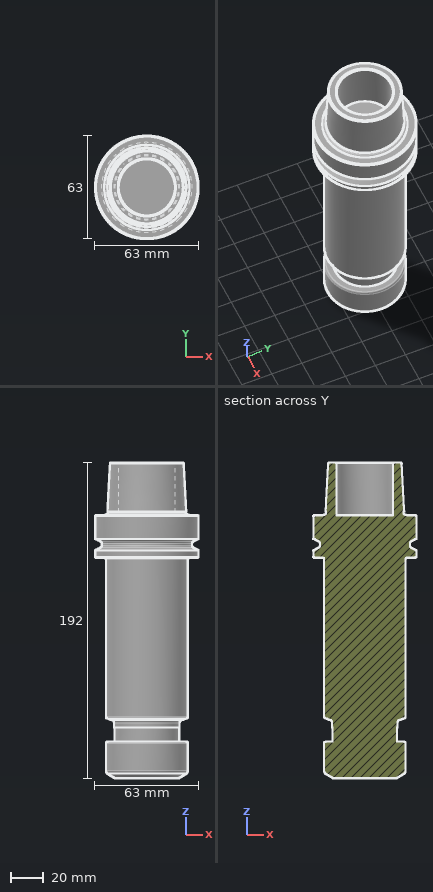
import cadquery as cq
import math

total_height = 192.0
shank_length = 32.0
flange_height = 26.0
flange_top = total_height - shank_length
flange_bottom = flange_top - flange_height
body_bottom = 37.6
step_bottom = 33.8
neck_split = 31.0
collar_top = 22.5

shank_top_radius = 22.5
shank_base_radius = 24.0
shank_base_height = 2.3
tip_chamfer_width = 0.5
tip_chamfer_height = 0.8
undercut_radius = 23.6
undercut_taper = 0.8
undercut_fillet = 0.8
seat_radius = 26.0
seat_rise = 0.5
bore_radius = 17.0
bore_depth = shank_length
bore_chamfer = 0.5

flange_radius = 31.5
flange_chamfer = 0.5
groove_radius = 27.5
groove_floor_width = 2.9
groove_corner_fillet = 1.3
groove_center = 142.1
groove_wall_slope = math.radians(27)

body_radius = 25.0
body_fillet = 1.0
body_edge_round = 1.3
neck_radius = 20.0
neck_relief = 0.2
neck_fillet = 1.7

collar_top_fillet = 1.2
collar_round = 2.1
end_radius = 19.2
end_cone_radius = 24.2
end_cone_height = 2.9

diagonal = math.sqrt(0.5)


def shank_outline(profile):
    """Taper from the tip to an undercut, which runs out over a shallow cone on the flange face."""
    shank_base = flange_top + shank_base_height
    seat_top = flange_top + seat_rise
    return (
        profile.lineTo(shank_top_radius - tip_chamfer_width, total_height)
        .lineTo(shank_top_radius, total_height - tip_chamfer_height)
        .lineTo(shank_base_radius, shank_base)
        .lineTo(undercut_radius, shank_base - undercut_taper)
        .lineTo(undercut_radius, seat_top + undercut_fillet)
        .threePointArc(
            (
                undercut_radius + undercut_fillet * (1 - diagonal),
                seat_top + undercut_fillet * (1 - diagonal),
            ),
            (undercut_radius + undercut_fillet, seat_top),
        )
        .lineTo(seat_radius, flange_top)
    )


def flange_outline(profile):
    """Flange with chamfered rims and a V-sided gripper groove with filleted corners."""
    half_floor = groove_floor_width / 2
    corner_tangent = groove_corner_fillet * math.tan((math.pi / 2 - groove_wall_slope) / 2)
    corner_run = corner_tangent * math.cos(groove_wall_slope)
    corner_rise = corner_tangent * math.sin(groove_wall_slope)
    upper_floor = groove_center + half_floor
    lower_floor = groove_center - half_floor
    corner_radius = groove_radius + corner_run
    half_mouth = half_floor + (flange_radius - groove_radius) * math.tan(groove_wall_slope)
    return (
        profile.lineTo(flange_radius - flange_chamfer, flange_top)
        .lineTo(flange_radius, flange_top - flange_chamfer)
        .lineTo(flange_radius, groove_center + half_mouth)
        .lineTo(corner_radius, upper_floor + corner_rise)
        .tangentArcPoint((groove_radius, upper_floor - corner_tangent), relative=False)
        .lineTo(groove_radius, lower_floor + corner_tangent)
        .tangentArcPoint((corner_radius, lower_floor - corner_rise), relative=False)
        .lineTo(flange_radius, groove_center - half_mouth)
        .lineTo(flange_radius, flange_bottom + flange_chamfer)
        .lineTo(flange_radius - flange_chamfer, flange_bottom)
    )


def body_outline(profile):
    """Long cylinder with a rounded lower edge, stepping in to the neck."""
    step_height = body_bottom - body_edge_round
    return (
        profile.lineTo(body_radius + body_fillet, flange_bottom)
        .threePointArc(
            (
                body_radius + body_fillet * (1 - diagonal),
                flange_bottom - body_fillet * (1 - diagonal),
            ),
            (body_radius, flange_bottom - body_fillet),
        )
        .lineTo(body_radius, body_bottom)
        .threePointArc(
            (
                body_radius - body_edge_round * (1 - diagonal),
                body_bottom - body_edge_round * diagonal,
            ),
            (body_radius - body_edge_round, step_height),
        )
        .lineTo(neck_radius + neck_fillet, step_bottom + neck_fillet)
        .threePointArc(
            (
                neck_radius + neck_fillet * (1 - diagonal),
                step_bottom + neck_fillet * diagonal,
            ),
            (neck_radius, step_bottom),
        )
        .lineTo(neck_radius, neck_split)
        .lineTo(neck_radius - neck_relief, neck_split)
        .lineTo(neck_radius - neck_relief, collar_top)
    )


def collar_outline(profile):
    """Collar with a filleted top rim and a rounded, conical lower end."""
    return (
        profile.lineTo(body_radius - collar_top_fillet, collar_top)
        .tangentArcPoint((body_radius, collar_top - collar_top_fillet), relative=False)
        .lineTo(body_radius, end_cone_height + collar_round)
        .tangentArcPoint((end_cone_radius, end_cone_height), relative=False)
        .lineTo(end_radius, 0)
        .lineTo(0, 0)
    )


def shank_bore():
    """Blind bore from the tip, with a chamfered mouth."""
    return (
        cq.Workplane("XZ")
        .moveTo(0, total_height)
        .lineTo(bore_radius + bore_chamfer, total_height)
        .lineTo(bore_radius, total_height - bore_chamfer)
        .lineTo(bore_radius, total_height - bore_depth)
        .lineTo(0, total_height - bore_depth)
        .close()
        .revolve(360, (0, 0), (0, 1))
    )


outline = cq.Workplane("XZ").moveTo(0, total_height)
for add_section in (shank_outline, flange_outline, body_outline, collar_outline):
    outline = add_section(outline)

result = outline.close().revolve(360, (0, 0), (0, 1)).cut(shank_bore())